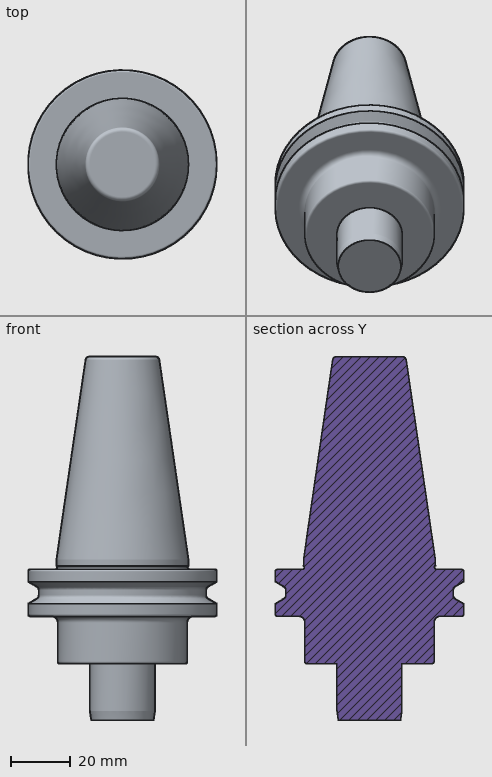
import cadquery as cq
import math


gauge_radius = 44.45 / 2
taper_length = 68.25
taper_slope = 7 / 24 / 2
taper_end_radius = gauge_radius - taper_length * taper_slope
taper_end_rounding = 1.5

flange_top = -3.2
undercut_start = -2.1
undercut_depth = 0.3
undercut_end = undercut_start - undercut_depth
undercut_radius = gauge_radius - undercut_depth
undercut_fillet = 0.7

flange_radius = 63.5 / 2
flange_thickness = 15.9
flange_bottom = flange_top - flange_thickness
flange_rounding = 0.8
groove_radius = 56.35 / 2
groove_middle = -11.1
groove_rim_half_width = 3.7
groove_flank_angle = math.radians(30)
groove_flank_height = (flange_radius - groove_radius) * math.tan(groove_flank_angle)
groove_floor_half_width = groove_rim_half_width - groove_flank_height
groove_fillet = 1.1

nose_radius = 43.6 / 2
nose_bottom = -35
nose_rounding = 0.8
nose_fillet = 2

pilot_radius = 22 / 2
pilot_bottom = -54
lead_in_height = 3.2
lead_in_depth = 0.5


def make_shank():
    """Taper, gauge cylinder and undercut, standing on the flange."""
    outline = (
        cq.Workplane("XZ")
        .moveTo(0, flange_top)
        .lineTo(undercut_radius, flange_top)
        .lineTo(undercut_radius, undercut_end)
        .lineTo(gauge_radius, undercut_start)
        .lineTo(gauge_radius, 0)
        .lineTo(taper_end_radius, taper_length)
        .lineTo(0, taper_length)
        .close()
    )
    return outline.revolve(360, (0, 0), (0, 1))


def make_flange():
    """Gripper flange with a V-groove around its rim."""
    outline = (
        cq.Workplane("XZ")
        .moveTo(0, flange_bottom)
        .lineTo(flange_radius, flange_bottom)
        .lineTo(flange_radius, groove_middle - groove_rim_half_width)
        .lineTo(groove_radius, groove_middle - groove_floor_half_width)
        .lineTo(groove_radius, groove_middle + groove_floor_half_width)
        .lineTo(flange_radius, groove_middle + groove_rim_half_width)
        .lineTo(flange_radius, flange_top)
        .lineTo(0, flange_top)
        .close()
    )
    return outline.revolve(360, (0, 0), (0, 1))


def make_nose_and_pilot():
    """Cylindrical nose under the flange and the pilot below it."""
    outline = (
        cq.Workplane("XZ")
        .moveTo(0, pilot_bottom)
        .lineTo(pilot_radius - lead_in_depth, pilot_bottom)
        .lineTo(pilot_radius, pilot_bottom + lead_in_height)
        .lineTo(pilot_radius, nose_bottom)
        .lineTo(nose_radius, nose_bottom)
        .lineTo(nose_radius, flange_bottom)
        .lineTo(0, flange_bottom)
        .close()
    )
    return outline.revolve(360, (0, 0), (0, 1))


def round_circle(body, circle_radius, height, rounding):
    """Fillet the circular edge with the given radius and height."""
    tolerance = 0.001

    def is_wanted(edge):
        if edge.geomType() != "CIRCLE":
            return False
        same_radius = abs(edge.radius() - circle_radius) < tolerance
        same_height = abs(edge.arcCenter().z - height) < tolerance
        return same_radius and same_height

    return body.edges().filter(is_wanted).fillet(rounding)


def round_edges(body):
    """Round the outer corners and fill the inner ones."""
    rounded_circles = [
        (taper_end_radius, taper_length, taper_end_rounding),
        (undercut_radius, flange_top, undercut_fillet),
        (flange_radius, flange_top, flange_rounding),
        (groove_radius, groove_middle + groove_floor_half_width, groove_fillet),
        (groove_radius, groove_middle - groove_floor_half_width, groove_fillet),
        (flange_radius, flange_bottom, flange_rounding),
        (nose_radius, flange_bottom, nose_fillet),
        (nose_radius, nose_bottom, nose_rounding),
    ]
    for circle_radius, height, rounding in rounded_circles:
        body = round_circle(body, circle_radius, height, rounding)
    return body


holder = make_flange().union(make_shank()).union(make_nose_and_pilot())
result = round_edges(holder)